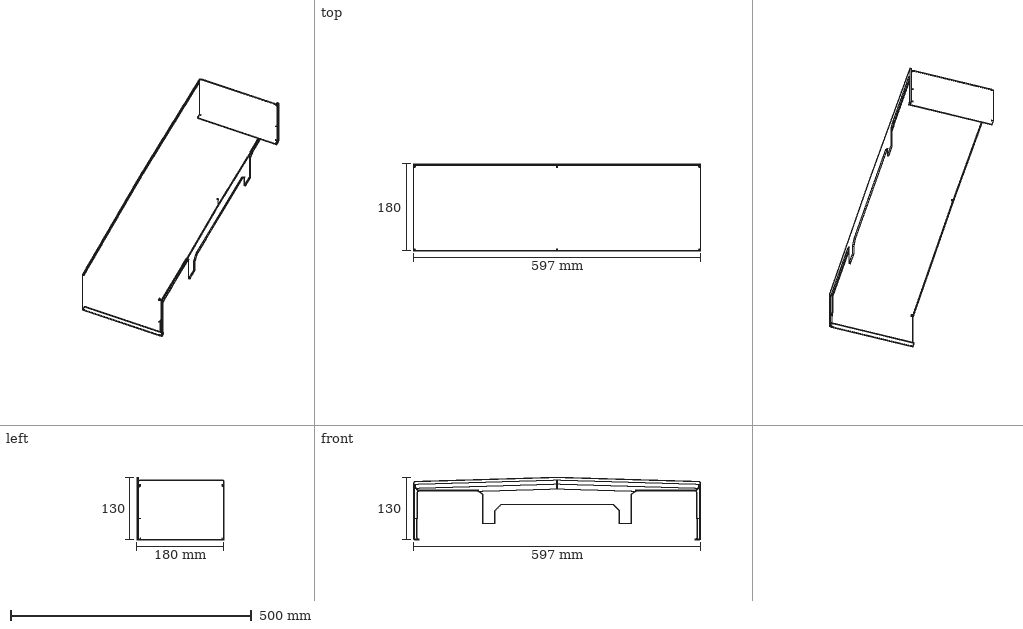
import cadquery as cq
import math

LENGTH = 597.0
DEPTH = 180.0
HEIGHT = 130.0
HALF_LENGTH = LENGTH / 2

SHEET = 1.95
BEND_RADIUS = 3.5
INNER_BEND_RADIUS = BEND_RADIUS - SHEET
ROOF_SLOPE = math.tan(math.radians(1.7))

PLATE_THICKNESS = 3.0

UPSTAND = 6.0
RIDGE_Z = HEIGHT - UPSTAND
EAVE_Z = RIDGE_Z - HALF_LENGTH * ROOF_SLOPE
FRONT_Y = -DEPTH / 2
COVER_BACK_Y = DEPTH / 2 - PLATE_THICKNESS
LIP_HEIGHT = 8.5
LIP_HALF_LENGTH = HALF_LENGTH - BEND_RADIUS
FOOT_FLANGE = 11.5
SIDE_FLANGE = 8.5
SIDE_FLANGE_BOTTOM_Z = 45.0
ROOF_FLANGE_BOTTOM_Z = 104.0
TONGUE_HEIGHT = 18.5
FLANGE_GAP = 1.0
TONGUE_HALF_LENGTH = 163.0

PLATE_HALF_LENGTH = HALF_LENGTH - 0.5
PLATE_CORNER_RADIUS = 3.5
PLATE_LEG_INNER_X = HALF_LENGTH - 7.0
PLATE_BAR_BOTTOM_Z = 102.0
PLATE_BAR_FILLET = 7.0
PLATE_FOOT_INNER_X = HALF_LENGTH - FOOT_FLANGE
PLATE_FOOT_FILLET = 3.5
BRACKET_OUTER_X = 154.5
BRACKET_INNER_X = 129.0
BRACKET_BOTTOM_Z = 34.0
BRACKET_BEAM_BOTTOM_Z = 73.5
BRACKET_INNER_CHAMFER = 12.5
BRACKET_TOP_FLARE_X = 11.0
BRACKET_TOP_FLARE_Z = 7.0


def roof_drop(x):
    """Fall of the roof from the ridge to the distance x from the middle."""
    return x * ROOF_SLOPE


def extrude_along_y(points, start_y, end_y):
    """Prism with an XZ outline, from start_y to end_y."""
    sketch = cq.Workplane("XZ", origin=(0, end_y, 0)).polyline(points).close()
    return sketch.extrude(end_y - start_y)


def mirrored_outline(half):
    """Closed outline from its right half, listed from the bottom up to the middle of the top."""
    return half + [(-x, z) for x, z in reversed(half) if x > 0]


def mirrored_boxes(inner_x, outer_x, y_range, z_range):
    """Pair of boxes, one at each end of the part."""
    size = (outer_x - inner_x, y_range[1] - y_range[0], z_range[1] - z_range[0])
    box = cq.Workplane().box(*size, centered=False).translate((inner_x, y_range[0], z_range[0]))
    return box.union(box.mirror("YZ"))


def house_block(inset, radius, rounded_back):
    """House-shaped block inset from the cover's outside, rounded where the sheet is bent."""
    half_length = HALF_LENGTH - inset
    ridge_z = RIDGE_Z - inset
    front_y = FRONT_Y + inset
    back_y = COVER_BACK_Y - inset
    outline = mirrored_outline([
        (half_length, inset),
        (half_length, ridge_z - roof_drop(half_length)),
        (0, ridge_z),
    ])
    block = extrude_along_y(outline, front_y, back_y)
    above_walls = cq.selectors.BoxSelector(
        (-LENGTH, -DEPTH, EAVE_Z - 2 * SHEET), (LENGTH, DEPTH, HEIGHT)
    )
    roof_rims = block.faces("<Y or >Y").edges(above_walls).vals()
    side_bends = block.faces("<X or >X").edges("|Y").vals()
    back_bends = block.faces(">Y").edges("|Z").vals() if rounded_back else []
    edges = {edge.hashCode(): edge for edge in roof_rims + side_bends + back_bends}
    return block.newObject(list(edges.values())).fillet(radius)


def closed_shell(rounded_back):
    """Hollow house of sheet thickness."""
    outside = house_block(0, BEND_RADIUS, rounded_back)
    return outside.cut(house_block(SHEET, INNER_BEND_RADIUS, rounded_back))


def bent_shell():
    """Hollow house whose back corners are bent only above the ends of the side flanges."""
    upper_zone = cq.Workplane().box(2 * LENGTH, 2 * DEPTH, HEIGHT, centered=(True, True, False))
    upper_zone = upper_zone.translate((0, 0, SIDE_FLANGE_BOTTOM_Z))
    upper = closed_shell(True).intersect(upper_zone)
    lower = closed_shell(False).cut(upper_zone)
    return upper.union(lower)


def front_opening():
    """Opening under the front lip, between the side walls."""
    half_length = HALF_LENGTH - SHEET
    lip_bottom_z = RIDGE_Z - LIP_HEIGHT
    outline = mirrored_outline([
        (half_length, SHEET),
        (half_length, lip_bottom_z - roof_drop(half_length)),
        (0, lip_bottom_z),
    ])
    return extrude_along_y(outline, FRONT_Y, FRONT_Y + BEND_RADIUS)


def back_opening():
    """Opening in the back that leaves the side flanges, the roof flange and its middle tongue."""
    tongue_z = RIDGE_Z - TONGUE_HEIGHT
    wall_x = HALF_LENGTH - SHEET
    flange_x = HALF_LENGTH - SIDE_FLANGE
    outline = mirrored_outline([
        (wall_x, SHEET),
        (wall_x, SIDE_FLANGE_BOTTOM_Z),
        (flange_x, SIDE_FLANGE_BOTTOM_Z),
        (flange_x, ROOF_FLANGE_BOTTOM_Z),
        (TONGUE_HALF_LENGTH, ROOF_FLANGE_BOTTOM_Z),
        (TONGUE_HALF_LENGTH, tongue_z - roof_drop(TONGUE_HALF_LENGTH)),
        (0, tongue_z),
    ])
    return extrude_along_y(outline, COVER_BACK_Y - BEND_RADIUS, COVER_BACK_Y)


def bottom_opening():
    """Opening between the two inward foot flanges."""
    size = (2 * (HALF_LENGTH - FOOT_FLANGE), DEPTH, SHEET)
    return cq.Workplane().box(*size, centered=(True, True, False))


def corner_reliefs():
    """Notches where the roof bends meet, and gaps between the lip ends and the side walls."""
    front = (FRONT_Y, FRONT_Y + BEND_RADIUS)
    back = (COVER_BACK_Y - BEND_RADIUS, COVER_BACK_Y)
    bend_z = (EAVE_Z - BEND_RADIUS, HEIGHT)
    lip_z = (EAVE_Z - 2 * LIP_HEIGHT, HEIGHT)
    notches = mirrored_boxes(LIP_HALF_LENGTH, HALF_LENGTH, front, bend_z)
    notches = notches.union(mirrored_boxes(LIP_HALF_LENGTH, HALF_LENGTH, back, bend_z))
    return notches.union(mirrored_boxes(LIP_HALF_LENGTH, HALF_LENGTH - SHEET, front, lip_z))


def ridge_slits():
    """Slits that split the front lip and the back tongue under the ridge fold."""
    size = (FLANGE_GAP, BEND_RADIUS, 2 * TONGUE_HEIGHT)
    slit = cq.Workplane().box(*size, centered=(True, False, True))
    front = slit.translate((0, FRONT_Y, RIDGE_Z))
    back = slit.translate((0, COVER_BACK_Y - BEND_RADIUS, RIDGE_Z))
    return front.union(back)


def miter_slits():
    """Diagonal slits between the roof flange and the side flanges at the back."""
    run = SIDE_FLANGE
    rise = EAVE_Z - ROOF_FLANGE_BOTTOM_Z
    size = (math.hypot(run, rise), BEND_RADIUS, FLANGE_GAP)
    middle_x = HALF_LENGTH - run / 2
    middle_z = EAVE_Z - rise / 2
    slit = cq.Workplane().box(*size)
    slit = slit.rotate((0, 0, 0), (0, 1, 0), -math.degrees(math.atan2(rise, run)))
    slit = slit.translate((middle_x, COVER_BACK_Y - BEND_RADIUS / 2, middle_z))
    return slit.union(slit.mirror("YZ"))


def make_cover():
    cover = bent_shell()
    openings = [
        front_opening(),
        back_opening(),
        bottom_opening(),
        corner_reliefs(),
        ridge_slits(),
        miter_slits(),
    ]
    for opening in openings:
        cover = cover.cut(opening)
    return cover


def make_back_plate():
    outline = mirrored_outline([
        (0, BRACKET_BEAM_BOTTOM_Z),
        (BRACKET_INNER_X - BRACKET_INNER_CHAMFER, BRACKET_BEAM_BOTTOM_Z),
        (BRACKET_INNER_X, BRACKET_BEAM_BOTTOM_Z - BRACKET_INNER_CHAMFER),
        (BRACKET_INNER_X, BRACKET_BOTTOM_Z),
        (BRACKET_OUTER_X, BRACKET_BOTTOM_Z),
        (BRACKET_OUTER_X, PLATE_BAR_BOTTOM_Z - BRACKET_TOP_FLARE_Z),
        (BRACKET_OUTER_X + BRACKET_TOP_FLARE_X, PLATE_BAR_BOTTOM_Z),
        (PLATE_LEG_INNER_X, PLATE_BAR_BOTTOM_Z),
        (PLATE_LEG_INNER_X, SHEET),
        (PLATE_FOOT_INNER_X, SHEET),
        (PLATE_FOOT_INNER_X, 0),
        (PLATE_HALF_LENGTH, 0),
        (PLATE_HALF_LENGTH, HEIGHT - roof_drop(PLATE_HALF_LENGTH)),
        (0, HEIGHT),
    ])
    plate = extrude_along_y(outline, COVER_BACK_Y, COVER_BACK_Y + PLATE_THICKNESS)
    plate = fillet_pair(plate, PLATE_LEG_INNER_X, PLATE_BAR_BOTTOM_Z, PLATE_BAR_FILLET)
    plate = fillet_pair(plate, PLATE_LEG_INNER_X, SHEET, PLATE_FOOT_FILLET)
    plate = fillet_pair(plate, PLATE_HALF_LENGTH, 0, PLATE_CORNER_RADIUS)
    top_corner_z = HEIGHT - roof_drop(PLATE_HALF_LENGTH)
    return fillet_pair(plate, PLATE_HALF_LENGTH, top_corner_z, PLATE_CORNER_RADIUS)


def fillet_pair(plate, corner_x, corner_z, radius):
    """Round the plate corner at (corner_x, corner_z) and its mirror image."""
    middle_y = COVER_BACK_Y + PLATE_THICKNESS / 2
    for x in (-corner_x, corner_x):
        nearest = cq.selectors.NearestToPointSelector((x, middle_y, corner_z))
        plate = plate.edges("|Y").edges(nearest).fillet(radius)
    return plate


cover = make_cover()
back_plate = make_back_plate()

result = cq.Compound.makeCompound([cover.val(), back_plate.val()])